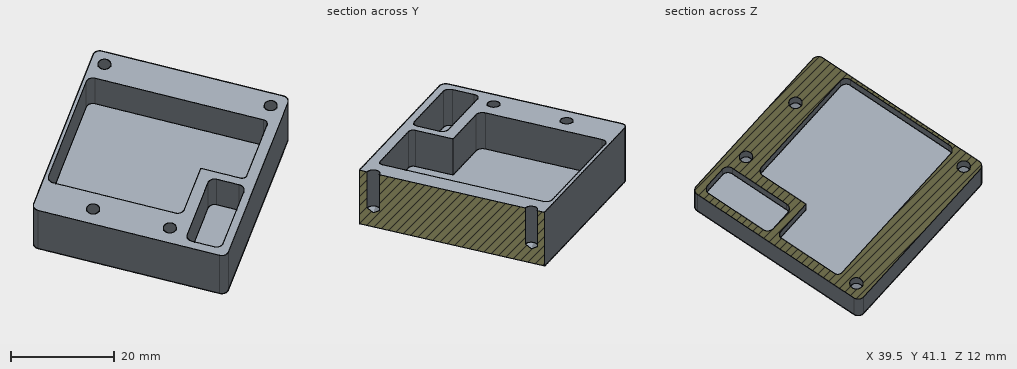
import cadquery as cq
import math

width = 39.55
depth = 41.1
height = 12.0
corner_radius = 1.35

pocket_depth = 8.0
pocket_left = -19.05
pocket_right = 17.55
pocket_front = -13.2
pocket_back = 13.78
step_x = 8.5
step_y = -1.25
pocket_radius = 1.35
rear_bay_radius = 1.0

side_left = 10.9
side_right = 18.18
side_front = -18.87
side_back = -2.88

hole_diameter = 2.5
hole_depth = 8.0
drill_point_angle = 118.0
hole_centers = [(-16.95, 17.6), (16.8, 17.5), (-8.4, -17.02), (7.2, -17.02)]


def block():
    return (
        cq.Workplane("XY")
        .box(width, depth, height, centered=(True, True, False))
        .edges("|Z")
        .fillet(corner_radius)
    )


def rounded_pocket(left, right, front, back, radius):
    """Rectangular pocket volume, open at the top face."""
    return (
        cq.Workplane("XY")
        .workplane(offset=height - pocket_depth)
        .center((left + right) / 2, (front + back) / 2)
        .rect(right - left, back - front)
        .extrude(pocket_depth)
        .edges("|Z")
        .fillet(radius)
    )


def main_pocket():
    long_bay = rounded_pocket(pocket_left, step_x, pocket_front, pocket_back, pocket_radius)
    rear_bay_left = (pocket_left + step_x) / 2
    rear_bay = rounded_pocket(rear_bay_left, pocket_right, step_y, pocket_back, rear_bay_radius)
    rear_joint = (
        cq.Workplane("XY")
        .box(step_x - rear_bay_left, pocket_back - step_y, pocket_depth, centered=False)
        .translate((rear_bay_left, step_y, height - pocket_depth))
    )
    return long_bay.union(rear_bay).union(rear_joint)


def drilled_hole(x, y):
    radius = hole_diameter / 2
    tip_length = radius / math.tan(math.radians(drill_point_angle / 2))
    shoulder_z = height - hole_depth
    profile = [(0, height), (radius, height), (radius, shoulder_z), (0, shoulder_z - tip_length)]
    return (
        cq.Workplane("XZ")
        .polyline(profile)
        .close()
        .revolve(360, (0, 0), (0, 1))
        .translate((x, y, 0))
    )


side_pocket = rounded_pocket(side_left, side_right, side_front, side_back, pocket_radius)
result = block().cut(main_pocket()).cut(side_pocket)
for hole_x, hole_y in hole_centers:
    result = result.cut(drilled_hole(hole_x, hole_y))